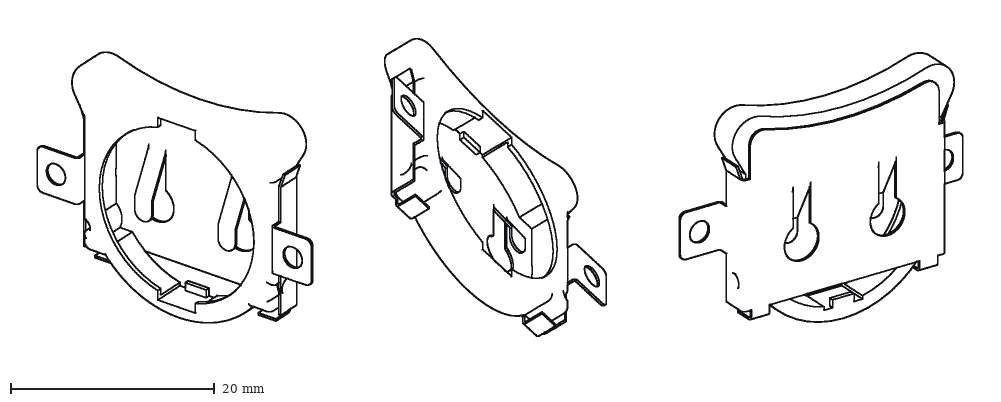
import cadquery as cq
import math


housing_depth = 3.67
half_width = 11.55
skirt_radius = 11.7
shoulder_z = -7.55
skirt_top_z = -6.68
lobe_radius = 2.57
lobe_x = 10.55
lobe_z = 10.55
lobe_flank_angle = 30.0
top_edge_z = 11.42
front_fillet = 0.75
shoulder_corner_radius = 0.8

opening_radius = 9.42
lip_thickness = 0.5
coin_radius = 10.1
cavity_half_width = 10.02
cavity_half_height = 6.05
slot_width = 4.55
slot_z = 10.2
tooth_width = 2.55
tooth_height = 0.87
tooth_depth = 0.5

notch_radius = 0.67
notch_z = -5.05
notch_wall_radius = 2.2

sheet = 0.25
contact_half_width = 12.02
contact_bottom_z = -7.7
bend_radius = 0.217
wall_top_z = 6.6
wall_front_y = -2.75

plate_half_width = 11.15
plate_corner_radius = 1.37
plate_corner_z = 10.22
plate_top_z = 10.22

flare_rise = 1.5
flare_angle = 19.0

ear_height = 5.15
ear_z = 0.1
ear_tip_x = 16.7
ear_gap = 0.15
ear_bend_radius = 0.1
ear_corner_radius = 0.67
ear_hole_diameter = 2.3
ear_hole_x = 14.43

dimple_radius = 0.8
dimple_rim_radius = 0.45
dimple_y = -1.55

foot_inner_x = 8.9
foot_outer_x = 11.02
foot_bottom_z = -8.92
foot_front_y = -2.2

finger_x = 5.08
finger_width = 2.07
finger_top_z = 4.38
finger_knee_z = -0.35
finger_tip_z = -2.9
finger_bend_radius = 1.25
finger_slope = 27.5
finger_knee_radius = 0.3
finger_hole_radius = 2.05
finger_hole_z = -1.87

wall_inner_x = contact_half_width - sheet
side_bend_x = wall_inner_x - bend_radius
dimple_outer_radius = dimple_radius + sheet
ear_back_y = -housing_depth - ear_gap

SIDES = (-1, 1)


def block(x0, x1, y0, y1, z0, z1):
    """Box between two opposite corners."""
    return cq.Workplane("XY").box(x1 - x0, y1 - y0, z1 - z0, centered=False).translate((x0, y0, z0))


def both_sides(shape):
    """The shape together with its mirror image in the plane x = 0."""
    return shape.union(shape.mirror("YZ"))


def hollow_edge_radius(corner_x, corner_z, corner_radius, middle_z):
    """Radius of a concave arc through (0, middle_z) that is tangent to both corner arcs."""
    drop = corner_z - middle_z
    return (corner_x**2 + drop**2 - corner_radius**2) / (2 * (corner_radius + drop))


def hollow_edge_tangent(corner_x, corner_z, corner_radius, middle_z):
    """Point where the concave arc meets the right-hand corner arc."""
    hollow = hollow_edge_radius(corner_x, corner_z, corner_radius, middle_z)
    share = corner_radius / (hollow + corner_radius)
    x = corner_x * (1 - share)
    z = corner_z + (middle_z + hollow - corner_z) * share
    return x, z


def frame():
    """Housing block above the shoulders, with the grooves in its sides."""
    flank = math.radians(lobe_flank_angle)
    flank_x = lobe_x + lobe_radius * math.cos(flank)
    flank_z = lobe_z - lobe_radius * math.sin(flank)
    waist_z = flank_z - (flank_x - half_width) / math.tan(flank)
    crest_x, crest_z = hollow_edge_tangent(lobe_x, lobe_z, lobe_radius, top_edge_z)
    lobe_mid = lobe_radius * math.sqrt(0.5)
    notch_top = notch_z + notch_radius
    notch_bottom = notch_z - notch_radius
    notch_floor = half_width - notch_radius
    return (
        cq.Workplane("XZ")
        .moveTo(-half_width, shoulder_z)
        .lineTo(half_width, shoulder_z)
        .lineTo(half_width, notch_bottom)
        .threePointArc((notch_floor, notch_z), (half_width, notch_top))
        .lineTo(half_width, waist_z)
        .lineTo(flank_x, flank_z)
        .threePointArc((lobe_x + lobe_mid, lobe_z + lobe_mid), (crest_x, crest_z))
        .threePointArc((0, top_edge_z), (-crest_x, crest_z))
        .threePointArc((-lobe_x - lobe_mid, lobe_z + lobe_mid), (-flank_x, flank_z))
        .lineTo(-half_width, waist_z)
        .lineTo(-half_width, notch_top)
        .threePointArc((-notch_floor, notch_z), (-half_width, notch_bottom))
        .close()
        .extrude(housing_depth)
        .edges("|Y and <Z")
        .fillet(shoulder_corner_radius)
        .faces("<Y")
        .edges()
        .fillet(front_fillet)
    )


def skirt():
    """Round lower edge of the housing, below the shoulders."""
    disc = cq.Workplane("XZ").circle(skirt_radius).extrude(housing_depth)
    disc = disc.faces("<Y").edges().fillet(front_fillet)
    keep = block(-skirt_radius, skirt_radius, -housing_depth, 0, -skirt_radius, skirt_top_z)
    return disc.intersect(keep)


def coin_cavity():
    depth = housing_depth - lip_thickness
    seat = cq.Workplane("XZ").circle(coin_radius).extrude(depth)
    bay = cq.Workplane("XZ").rect(2 * cavity_half_width, 2 * cavity_half_height).extrude(depth)
    notch_walls = (
        cq.Workplane("XZ")
        .pushPoints([(side * half_width, notch_z) for side in SIDES])
        .circle(notch_wall_radius)
        .extrude(depth)
    )
    return seat.union(bay.cut(notch_walls))


def dimple_seats():
    seat = cq.Workplane("XY").sphere(dimple_outer_radius)
    return both_sides(seat.translate((contact_half_width, dimple_y, notch_z)))


def teeth():
    tooth = block(-tooth_width / 2, tooth_width / 2, -tooth_depth, 0, slot_z - tooth_height, slot_z)
    return tooth.union(tooth.mirror("XY"))


def make_housing():
    opening = cq.Workplane("XZ").circle(opening_radius).extrude(housing_depth)
    slots = cq.Workplane("XZ").rect(slot_width, 2 * slot_z).extrude(housing_depth)
    body = frame().union(skirt()).cut(coin_cavity()).cut(opening).cut(slots)
    return body.cut(dimple_seats()).union(teeth())


def quarter_bend(plane, center, directions, inner, start, end):
    """Quarter ring of sheet around center, in the quadrant given by directions."""
    u, v = center
    du, dv = directions
    outer = inner + sheet
    diagonal = math.sqrt(0.5)
    return (
        plane.workplane(offset=start)
        .moveTo(u + du * inner, v)
        .lineTo(u + du * outer, v)
        .threePointArc((u + du * outer * diagonal, v + dv * outer * diagonal), (u, v + dv * outer))
        .lineTo(u, v + dv * inner)
        .threePointArc((u + du * inner * diagonal, v + dv * inner * diagonal), (u + du * inner, v))
        .close()
        .extrude(end - start)
    )


def back_plate():
    corner_x = plate_half_width - plate_corner_radius
    crest_x, crest_z = hollow_edge_tangent(corner_x, plate_corner_z, plate_corner_radius, plate_top_z)
    corner_mid = plate_corner_radius * math.sqrt(0.5)
    mid_x = corner_x + corner_mid
    mid_z = plate_corner_z + corner_mid
    return (
        cq.Workplane("XZ")
        .moveTo(-side_bend_x, contact_bottom_z)
        .lineTo(side_bend_x, contact_bottom_z)
        .lineTo(side_bend_x, wall_top_z)
        .lineTo(plate_half_width, wall_top_z)
        .lineTo(plate_half_width, plate_corner_z)
        .threePointArc((mid_x, mid_z), (crest_x, crest_z))
        .threePointArc((0, plate_top_z), (-crest_x, crest_z))
        .threePointArc((-mid_x, mid_z), (-plate_half_width, plate_corner_z))
        .lineTo(-plate_half_width, wall_top_z)
        .lineTo(-side_bend_x, wall_top_z)
        .close()
        .extrude(-sheet)
    )


def side_wall():
    """Right-hand wall with the dimple that snaps into the housing groove."""
    wall = block(wall_inner_x, contact_half_width, wall_front_y, -bend_radius, contact_bottom_z, wall_top_z)
    center = (contact_half_width, dimple_y, notch_z)
    bump = cq.Workplane("XY").sphere(dimple_outer_radius).translate(center)
    inside = block(0, contact_half_width, wall_front_y, 0, contact_bottom_z, wall_top_z)
    pit = cq.Workplane("XY").sphere(dimple_radius).translate(center)
    wall = wall.union(bump.intersect(inside)).cut(pit)
    wall = wall.faces("|X").faces(">X").edges("%CIRCLE").fillet(dimple_rim_radius)
    wall = wall.faces("|X").faces("<X").edges("%CIRCLE").fillet(dimple_rim_radius - sheet)
    bend = quarter_bend(
        cq.Workplane("XY"), (side_bend_x, -bend_radius), (1, 1), bend_radius, contact_bottom_z, wall_top_z
    )
    return wall.union(bend)


def flare():
    """Lead-in lip that leans outward above the right-hand wall."""
    lean = flare_rise * math.tan(math.radians(flare_angle))
    return (
        cq.Workplane("XZ")
        .workplane(offset=bend_radius)
        .moveTo(wall_inner_x, wall_top_z)
        .lineTo(contact_half_width, wall_top_z)
        .lineTo(contact_half_width + lean, wall_top_z + flare_rise)
        .lineTo(wall_inner_x + lean, wall_top_z + flare_rise)
        .close()
        .extrude(-wall_front_y - bend_radius)
    )


def ear():
    """Right-hand mounting ear, bent outward from the wall."""
    bottom = ear_z - ear_height / 2
    top = ear_z + ear_height / 2
    bend_x = contact_half_width + ear_bend_radius
    bend_y = ear_back_y + ear_bend_radius
    web = block(wall_inner_x, contact_half_width, bend_y, wall_front_y, bottom, top)
    bend = quarter_bend(cq.Workplane("XY"), (bend_x, bend_y), (-1, -1), ear_bend_radius, bottom, top)
    tab = block(bend_x, ear_tip_x, ear_back_y - sheet, ear_back_y, bottom, top)
    tab = tab.edges("|Y and >X").fillet(ear_corner_radius)
    hole = (
        cq.Workplane("XZ")
        .center(ear_hole_x, ear_z)
        .circle(ear_hole_diameter / 2)
        .extrude(sheet - ear_back_y)
    )
    return web.union(bend).union(tab.cut(hole))


def foot():
    """Right-hand hook that runs down from the plate and forward under the housing."""
    bend_z = foot_bottom_z + sheet + bend_radius
    strip = block(foot_inner_x, foot_outer_x, 0, sheet, bend_z, contact_bottom_z)
    bend = quarter_bend(
        cq.Workplane("YZ"), (-bend_radius, bend_z), (1, -1), bend_radius, foot_inner_x, foot_outer_x
    )
    shelf = block(
        foot_inner_x, foot_outer_x, foot_front_y, -bend_radius, foot_bottom_z, foot_bottom_z + sheet
    )
    return strip.union(bend).union(shelf)


def finger_window(x):
    """Slot and round hole in the plate around a spring finger."""
    slot = block(x - finger_width / 2, x + finger_width / 2, 0, sheet, finger_hole_z, finger_top_z)
    hole = cq.Workplane("XZ").center(x, finger_hole_z).circle(finger_hole_radius).extrude(-sheet)
    return slot.union(hole)


def spring_finger(x):
    """Finger that bends forward out of the plate, then runs straight down to a round tip."""
    slope = math.radians(finger_slope)
    center_y = -finger_bend_radius

    def on_bend(radius, angle):
        return center_y + radius * math.cos(angle), finger_top_z - radius * math.sin(angle)

    front_radius = finger_bend_radius
    back_radius = finger_bend_radius + sheet
    bend_end_y, bend_end_z = on_bend(front_radius, slope)
    front_y = bend_end_y - (bend_end_z - finger_knee_z) * math.tan(slope)
    back_y = front_y + sheet
    back_knee_z = finger_knee_z - sheet * math.tan(slope / 2)
    strip = (
        cq.Workplane("YZ")
        .workplane(offset=x - finger_width / 2)
        .moveTo(0, finger_top_z)
        .threePointArc(on_bend(front_radius, slope / 2), (bend_end_y, bend_end_z))
        .lineTo(front_y, finger_knee_z)
        .lineTo(front_y, finger_tip_z)
        .lineTo(back_y, finger_tip_z)
        .lineTo(back_y, back_knee_z)
        .lineTo(*on_bend(back_radius, slope))
        .threePointArc(on_bend(back_radius, slope / 2), (sheet, finger_top_z))
        .close()
        .extrude(finger_width)
    )
    knee = cq.NearestToPointSelector((x, front_y, finger_knee_z))
    strip = strip.edges(knee).fillet(finger_knee_radius)
    tip_z = finger_tip_z + finger_width / 2
    round_tip = cq.Workplane("XZ").center(x, tip_z).circle(finger_width / 2).extrude(-front_y)
    above_tip = block(
        x - finger_width / 2, x + finger_width / 2, front_y, sheet, tip_z, finger_top_z
    )
    return strip.intersect(above_tip.union(round_tip))


def make_contact():
    side = side_wall().union(flare()).union(ear()).union(foot())
    contact = back_plate().union(both_sides(side))
    for direction in SIDES:
        contact = contact.cut(finger_window(direction * finger_x))
        contact = contact.union(spring_finger(direction * finger_x))
    return contact


housing = make_housing()
contact = make_contact()
result = cq.Compound.makeCompound([housing.val(), contact.val()])